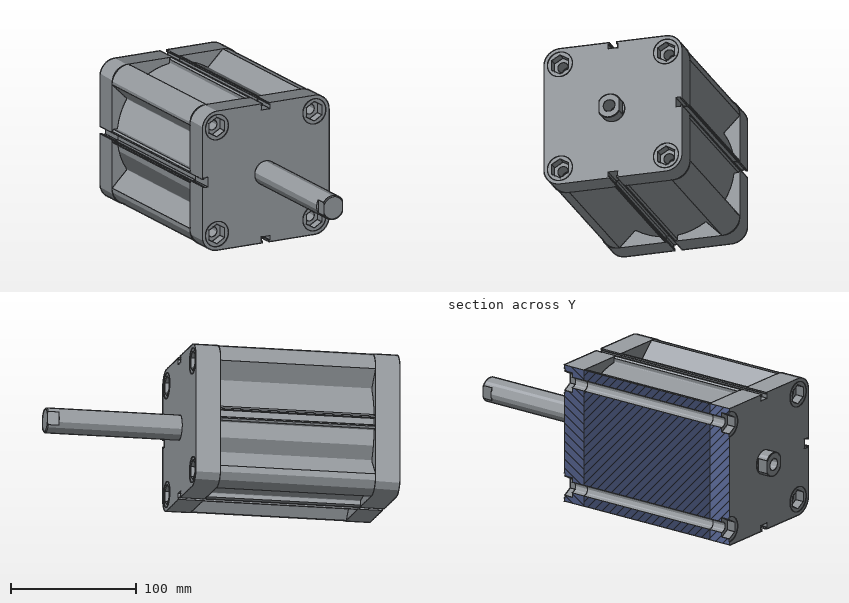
import cadquery as cq
import math

rod_length = 287.0
cap_start = 9.8
cap_length = 20.0
tube_length = 126.9
tube_start = cap_start + cap_length
tube_end = tube_start + tube_length

side = 116.0
half_side = side / 2
cap_corner_radius = 13.5
tube_corner_radius = 15.0

bolt_offset = half_side - cap_corner_radius
bolt_hole_diameter = 8.5
hex_across_flats = 14.0
hex_depth = 8.0
spotface_diameter = 21.0
spotface_depth = 0.43

slot_opening = 6.0
cap_slot_width = 8.0
tube_slot_width = 7.0
slot_depth = 5.2
slot_lip = 1.5

barrel_radius = 53.5
rail_top_width = 8.3
rail_width = 11.5
rail_bevel_drop = 1.3
recess_fillet = 1.0

rod_diameter = 20.0
front_chamfer = 1.0
rear_chamfer = 0.43
rod_across_flats = 17.0
front_flat_length = 9.5
rear_flat_length = 9.0
drill_diameter = 9.8
drill_depth = 17.2
drill_point_angle = 118.0

SLOTTED_CAP_TURNS = (0, 90, 180)
ALL_TURNS = (0, 90, 180, 270)


def section_at(x):
    """Sketch plane facing +X, with local axes along Y and Z."""
    return cq.Workplane("YZ", origin=(x, 0, 0))


def turned(shape, angle):
    """Copy of a shape turned about the X axis."""
    return shape.rotate((0, 0, 0), (1, 0, 0), angle)


def rounded_square_bar(x, length, corner_radius):
    return section_at(x).rect(side, side).extrude(length).edges("|X").fillet(corner_radius)


def t_slot(x, length, width):
    """Cutting shape for a slot in the +Z side that widens below its lips."""
    height = slot_depth - slot_lip
    middle = half_side - slot_depth + height / 2
    neck = section_at(x).center(0, half_side - slot_depth / 2).rect(slot_opening, slot_depth).extrude(length)
    undercut = section_at(x).center(0, middle).rect(width, height).extrude(length)
    return neck.union(undercut)


def bolt_points(x):
    return section_at(x).rect(2 * bolt_offset, 2 * bolt_offset, forConstruction=True).vertices()


def bolt_holes(x, length):
    return bolt_points(x).circle(bolt_hole_diameter / 2).extrude(length)


def rod_hole(x, length):
    return section_at(x).circle(rod_diameter / 2).extrude(length)


def hex_sockets(x):
    """Hexagons with corners toward +Z and -Z."""
    across_corners = hex_across_flats / math.cos(math.pi / 6)
    sockets = cq.Workplane()
    for y in (-bolt_offset, bolt_offset):
        for z in (-bolt_offset, bolt_offset):
            socket = section_at(x).polygon(6, across_corners).extrude(hex_depth)
            socket = turned(socket, 90).translate((0, y, z))
            sockets = sockets.add(socket)
    return sockets.combine()


def make_rear_cap():
    cap = rounded_square_bar(cap_start, cap_length, cap_corner_radius)
    slot = t_slot(cap_start, cap_length, cap_slot_width)
    for angle in SLOTTED_CAP_TURNS:
        cap = cap.cut(turned(slot, angle))
    cap = cap.cut(bolt_holes(cap_start, cap_length))
    cap = cap.cut(bolt_points(cap_start).circle(spotface_diameter / 2).extrude(spotface_depth))
    cap = cap.cut(hex_sockets(cap_start))
    return cap.cut(rod_hole(cap_start, cap_length))


def make_front_cap(rear_cap):
    """Mirror image of the rear cap at the other end of the tube."""
    return rear_cap.mirror("YZ", ((tube_start + tube_end) / 2, 0, 0))


def slot_rail():
    """Bevelled rail on the +Z side of the barrel that carries the slot."""
    top_half = rail_top_width / 2
    base_half = rail_width / 2
    shoulder = half_side - rail_bevel_drop
    return (
        section_at(tube_start)
        .lineTo(-base_half, 0)
        .lineTo(-base_half, shoulder)
        .lineTo(-top_half, half_side)
        .lineTo(top_half, half_side)
        .lineTo(base_half, shoulder)
        .lineTo(base_half, 0)
        .close()
        .extrude(tube_length)
    )


def side_recess():
    """Space on the +Z side, between the corner posts and around the slot rail."""
    mouth_half = half_side - tube_corner_radius
    opening = (
        section_at(tube_start)
        .moveTo(-mouth_half, half_side)
        .lineTo(mouth_half, half_side)
        .lineTo(0, half_side - mouth_half)
        .close()
        .extrude(tube_length)
    )
    barrel = section_at(tube_start).circle(barrel_radius).extrude(tube_length)
    recess = opening.cut(barrel).cut(slot_rail())
    bottom_edges = cq.selectors.BoxSelector(
        (tube_start, -half_side, 0),
        (tube_end, half_side, barrel_radius + recess_fillet),
    )
    return recess.edges("|X").edges(bottom_edges).fillet(recess_fillet)


def make_tube():
    tube = rounded_square_bar(tube_start, tube_length, tube_corner_radius)
    recess = side_recess()
    slot = t_slot(tube_start, tube_length, tube_slot_width)
    for angle in ALL_TURNS:
        tube = tube.cut(turned(recess, angle)).cut(turned(slot, angle))
    tube = tube.cut(bolt_holes(tube_start, tube_length))
    return tube.cut(rod_hole(tube_start, tube_length))


def flats_cutter(x, length):
    """Material to remove outside the wrench flats facing -Y and +Y."""
    outer = section_at(x).rect(2 * rod_diameter, 2 * rod_diameter).extrude(length)
    kept = section_at(x).rect(rod_across_flats, 2 * rod_diameter).extrude(length)
    return outer.cut(kept)


def drilled_hole():
    """Drilled hole with a conical bottom in the rear end of the rod."""
    radius = drill_diameter / 2
    point_length = radius / math.tan(math.radians(drill_point_angle / 2))
    return (
        cq.Workplane("XY")
        .lineTo(0, radius)
        .lineTo(drill_depth, radius)
        .lineTo(drill_depth + point_length, 0)
        .close()
        .revolve(360, (0, 0, 0), (1, 0, 0))
    )


def make_rod():
    rod = section_at(0).circle(rod_diameter / 2).extrude(rod_length)
    rod = rod.faces(">X").chamfer(front_chamfer)
    rod = rod.faces("<X").chamfer(rear_chamfer)
    rod = rod.cut(flats_cutter(0, rear_flat_length))
    rod = rod.cut(flats_cutter(rod_length - front_flat_length, front_flat_length))
    return rod.cut(drilled_hole())


rear_cap = make_rear_cap()
front_cap = make_front_cap(rear_cap)
tube = make_tube()
rod = make_rod()

result = cq.Compound.makeCompound([rear_cap.val(), front_cap.val(), tube.val(), rod.val()])